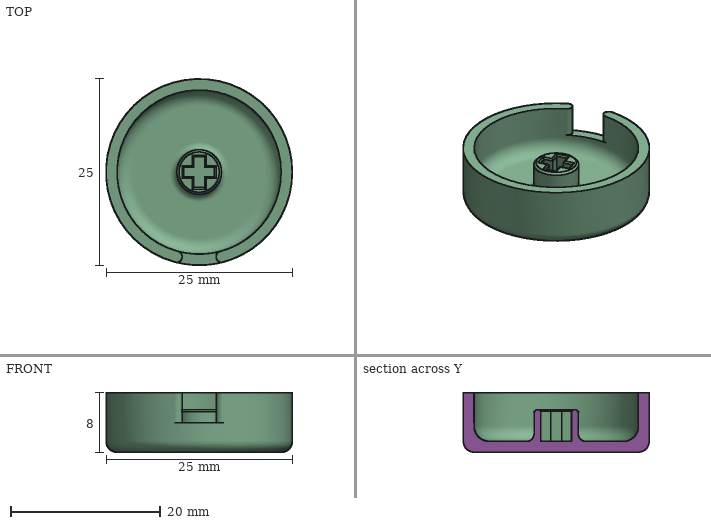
import cadquery as cq
import math

outer_radius = 12.5
inner_radius = 11.0
height = 8.0
floor_height = 1.5
outer_edge_radius = 1.5
inner_edge_radius = 2.0

stem_radius = 3.0
stem_top = 5.75
stem_chamfer = 0.3
stem_root_radius = 1.0

socket_length = 4.1
x_bar_width = 1.25
y_bar_width = 1.45
socket_floor = floor_height
mouth_bevel = 0.22

notch_floor = 4.0
notch_end_offset = 3.02


def make_cup():
    body = cq.Workplane("XY").circle(outer_radius).extrude(height)
    body = body.faces("<Z").edges().fillet(outer_edge_radius)
    cavity = (
        cq.Workplane("XY", origin=(0, 0, floor_height))
        .circle(inner_radius)
        .extrude(height - floor_height)
        .faces("<Z")
        .edges()
        .fillet(inner_edge_radius)
    )
    return body.cut(cavity)


def make_stem():
    """Revolved stem with a chamfered top and a concave flare at its root."""
    flare_radius = stem_radius + stem_root_radius
    flare_top = floor_height + stem_root_radius
    arc_reach = stem_root_radius * (1 - math.sqrt(0.5))
    profile = (
        cq.Workplane("XZ")
        .moveTo(0, floor_height / 2)
        .lineTo(flare_radius, floor_height / 2)
        .lineTo(flare_radius, floor_height)
        .threePointArc(
            (stem_radius + arc_reach, floor_height + arc_reach),
            (stem_radius, flare_top),
        )
        .lineTo(stem_radius, stem_top - stem_chamfer)
        .lineTo(stem_radius - stem_chamfer, stem_top)
        .lineTo(0, stem_top)
        .close()
    )
    return profile.revolve(360, (0, 0, 0), (0, 1, 0))


def make_socket_bar(x_size, y_size):
    """Rectangular bar of the socket, widening at its mouth."""
    bevel_start = stem_top - mouth_bevel
    bar = (
        cq.Workplane("XY", origin=(0, 0, socket_floor))
        .rect(x_size, y_size)
        .extrude(stem_top - socket_floor)
    )
    mouth = (
        cq.Workplane("XY", origin=(0, 0, bevel_start))
        .rect(x_size, y_size)
        .workplane(offset=mouth_bevel)
        .rect(x_size + 2 * mouth_bevel, y_size + 2 * mouth_bevel)
        .loft(ruled=True)
    )
    return bar.union(mouth)


def cut_notch(body):
    """Cut a wedge out of the wall and round both cut ends to the full wall thickness."""
    end_radius = (outer_radius - inner_radius) / 2
    middle_radius = (outer_radius + inner_radius) / 2
    end_y = -math.sqrt(middle_radius**2 - notch_end_offset**2)
    wedge_scale = outer_radius / middle_radius * 1.1
    wedge_x = notch_end_offset * wedge_scale
    wedge_y = end_y * wedge_scale
    notch_height = height - notch_floor

    notch_plane = cq.Workplane("XY", origin=(0, 0, notch_floor))
    wedge = (
        notch_plane.polyline([(0, 0), (-wedge_x, wedge_y), (wedge_x, wedge_y)])
        .close()
        .extrude(notch_height)
    )
    hub = notch_plane.circle(inner_radius).extrude(notch_height)
    ends = (
        notch_plane.pushPoints([(-notch_end_offset, end_y), (notch_end_offset, end_y)])
        .circle(end_radius)
        .extrude(notch_height)
    )
    return body.cut(wedge.cut(hub).cut(ends))


cup = cut_notch(make_cup())
socket = make_socket_bar(socket_length, x_bar_width).union(
    make_socket_bar(y_bar_width, socket_length)
)
result = cup.union(make_stem()).cut(socket)